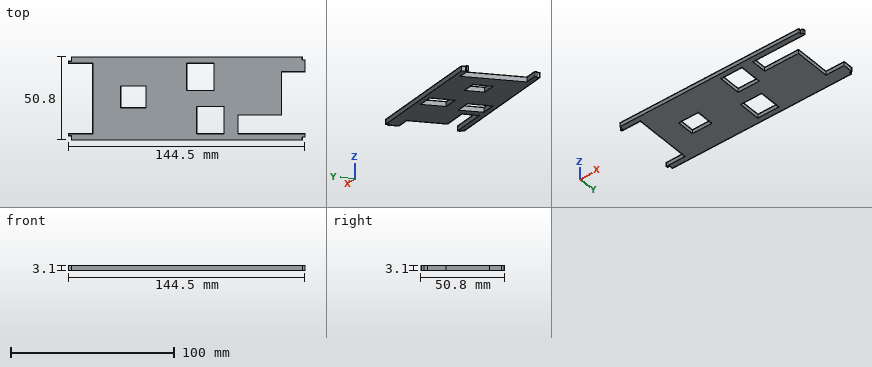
import cadquery as cq

overall_length = 144.54
plate_width = 50.8
thickness = 3.1

tab_length = 1.77
rail_width = 3.9
left_tab_setback = 2.6
right_tab_setback = 1.75
wide_arm_width = 9.1

left_notch_depth = 14.8
right_notch_depth = 14.4
slot_depth = 41.0
slot_height = 11.3

large_window = 16.5
upper_window_left = 0.0
lower_window_left = 6.1
small_window_length = 15.3
small_window_height = 13.1
small_window_left = -40.3
small_window_bottom = -5.5

right = overall_length / 2
left = -right
back = plate_width / 2
front = -back
rail_back = back - rail_width
rail_front = front + rail_width


def box(x_min, y_min, x_max, y_max):
    """Full-thickness block between two opposite corners in plan."""
    return (
        cq.Workplane("XY")
        .box(x_max - x_min, y_max - y_min, thickness, centered=(False, False, True))
        .translate((x_min, y_min, 0))
    )


def cut_end_notches(plate):
    """Open both ends, leaving the rails and the wide arm projecting."""
    arm_front = back - wide_arm_width
    plate = plate.cut(box(left, rail_front, left + left_notch_depth, rail_back))
    plate = plate.cut(box(right - right_notch_depth, rail_front, right, arm_front))
    return plate.cut(box(right - slot_depth, rail_front, right, rail_front + slot_height))


def cut_tab_steps(plate):
    """Step the outer corners back so that a narrower tab ends each rail."""
    ends = (
        (left, left + tab_length, left_tab_setback),
        (right - tab_length, right, right_tab_setback),
    )
    for x_min, x_max, setback in ends:
        plate = plate.cut(box(x_min, back - setback, x_max, back))
        plate = plate.cut(box(x_min, front, x_max, front + setback))
    return plate


def cut_windows(plate):
    """Cut two square windows along the rails and one smaller rectangle."""
    windows = (
        (upper_window_left, rail_back - large_window, large_window, large_window),
        (lower_window_left, rail_front, large_window, large_window),
        (small_window_left, small_window_bottom, small_window_length, small_window_height),
    )
    for x_min, y_min, length, height in windows:
        plate = plate.cut(box(x_min, y_min, x_min + length, y_min + height))
    return plate


plate = box(left, front, right, back)
plate = cut_end_notches(plate)
plate = cut_tab_steps(plate)
result = cut_windows(plate)